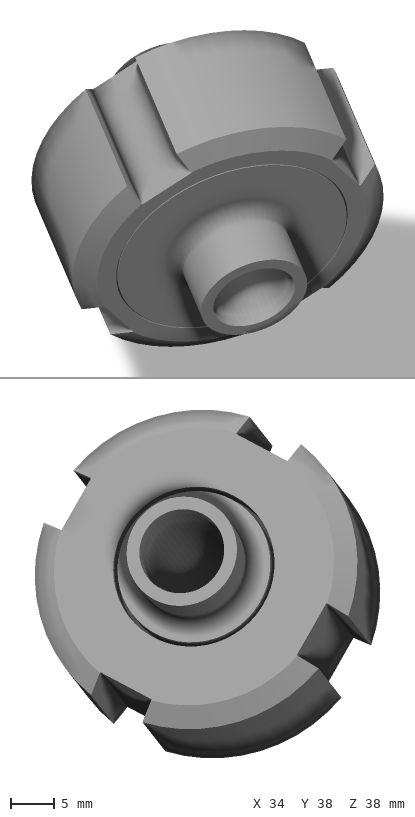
import cadquery as cq
import math


total_length = 34.0
nut_width = 18.0
half_length = total_length / 2
half_nut = nut_width / 2

pipe_diameter = 13.0
bore_diameter = 10.0
pipe_fillet = 1.6

nut_diameter = 38.0
chamfer_depth = 2.5
chamfer_angle = 30.0
lip_thickness = 4.0
lip_hole_diameter = 19.0
cavity_diameter = 28.4
slot_count = 4
slot_width = 7.0
slot_floor_radius = 16.0
first_slot_angle = 30.0

neck_diameter = 18.0
flange_diameter = 25.15
male_diameter = 28.0
joint_x = 0.0

lip_inner_x = lip_thickness - half_nut


def revolve_about_x(profile):
    """Revolve a closed XY profile (x = along the axis, y = radius) about X."""
    return profile.close().revolve(360, (0, 0, 0), (1, 0, 0))


def pipe_start(side):
    """Begin a profile on one side (-1 or +1): bore, pipe end, pipe wall and root fillet."""
    bore_radius = bore_diameter / 2
    pipe_radius = pipe_diameter / 2
    face_x = side * half_nut
    fillet_x = side * (half_nut + pipe_fillet)
    fillet_reach = pipe_fillet * (1 - math.sqrt(0.5))
    fillet_middle = (face_x + side * fillet_reach, pipe_radius + fillet_reach)
    return (
        cq.Workplane("XY")
        .moveTo(joint_x, bore_radius)
        .lineTo(side * half_length, bore_radius)
        .lineTo(side * half_length, pipe_radius)
        .lineTo(fillet_x, pipe_radius)
        .threePointArc(fillet_middle, (face_x, pipe_radius + pipe_fillet))
    )


def make_liner():
    """Pipe with a neck through the nut lip and a flange held behind it."""
    profile = (
        pipe_start(-1)
        .lineTo(-half_nut, neck_diameter / 2)
        .lineTo(lip_inner_x, neck_diameter / 2)
        .lineTo(lip_inner_x, flange_diameter / 2)
        .lineTo(joint_x, flange_diameter / 2)
    )
    return revolve_about_x(profile)


def make_male_end():
    """Pipe with a wide plug that fills the open end of the nut."""
    profile = (
        pipe_start(1)
        .lineTo(half_nut, male_diameter / 2)
        .lineTo(joint_x, male_diameter / 2)
    )
    return revolve_about_x(profile)


def make_nut():
    """Chamfered ring with an inner lip at -X and four spanner slots."""
    outer_radius = nut_diameter / 2
    face_radius = outer_radius - chamfer_depth
    rim_x = half_nut - chamfer_depth * math.tan(math.radians(chamfer_angle))
    nut = revolve_about_x(
        cq.Workplane("XY")
        .moveTo(-half_nut, lip_hole_diameter / 2)
        .lineTo(-half_nut, face_radius)
        .lineTo(-rim_x, outer_radius)
        .lineTo(rim_x, outer_radius)
        .lineTo(half_nut, face_radius)
        .lineTo(half_nut, cavity_diameter / 2)
        .lineTo(lip_inner_x, cavity_diameter / 2)
        .lineTo(lip_inner_x, lip_hole_diameter / 2)
    )
    slot_depth = outer_radius - slot_floor_radius
    slot = (
        cq.Workplane("XY")
        .box(nut_width, slot_depth, slot_width, centered=(True, False, True))
        .translate((0, slot_floor_radius, 0))
    )
    for index in range(slot_count):
        angle = first_slot_angle + index * 360 / slot_count
        nut = nut.cut(slot.rotate((0, 0, 0), (1, 0, 0), angle))
    return nut


liner = make_liner()
male_end = make_male_end()
nut = make_nut()

result = cq.Compound.makeCompound([liner.val(), male_end.val(), nut.val()])